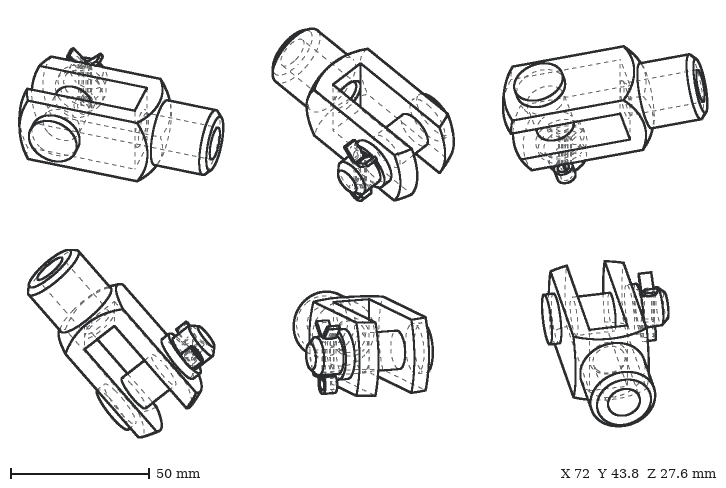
import cadquery as cq
import math

length = 72.0
fork_width = 27.0
slot_width = 14.0
slot_end_x = 43.85
front_dome_radius = 33.1
rear_dome_radius = 28.45
rear_dome_center_x = 25.8
shank_diameter = 24.0
shank_chamfer = 2.0
bore_diameter = 11.8
bore_mouth_diameter = 14.0
corner_clearance = 0.35

pin_x = 15.9
pin_diameter = 14.0
collar_diameter = 18.2
collar_thickness = 3.45
pin_tip_y = 26.9
tip_chamfer_length = 2.4
tip_chamfer_depth = 2.15

clip_y = 20.3
clip_width = 4.6
clip_hole_diameter = 4.6
strip_thickness = 1.4
leg_gap = 0.6
eye_radius = 3.45
clip_bottom_z = -14.05
bend_z = 6.9
prong_tip_z = 11.8
prong_angle = 45.0

half_width = fork_width / 2
half_slot = slot_width / 2


def y_cylinder(diameter, start_y, end_y):
    """Cylinder on the clevis pin axis between two Y positions."""
    return (
        cq.Workplane("XZ", origin=(pin_x, start_y, 0))
        .circle(diameter / 2)
        .extrude(start_y - end_y)
    )


def dome_x(center_x, dome_radius, radius, side):
    """X of a dome at a distance from the fork axis; side is -1 for front, +1 for rear."""
    return center_x + side * math.sqrt(dome_radius**2 - radius**2)


def make_fork():
    front_center_x = math.sqrt(front_dome_radius**2 - half_slot**2)
    front_apex_x = front_center_x - front_dome_radius
    shank_radius = shank_diameter / 2
    corner_radius = math.hypot(half_width, half_width) + corner_clearance
    middle_radius = corner_radius / 2
    rear_middle_radius = (corner_radius + shank_radius) / 2

    def front_point(radius):
        return dome_x(front_center_x, front_dome_radius, radius, -1), radius

    def rear_point(radius):
        return dome_x(rear_dome_center_x, rear_dome_radius, radius, 1), radius

    turned = (
        cq.Workplane("XY")
        .moveTo(front_apex_x, 0)
        .threePointArc(front_point(middle_radius), front_point(corner_radius))
        .lineTo(*rear_point(corner_radius))
        .threePointArc(rear_point(rear_middle_radius), rear_point(shank_radius))
        .lineTo(length - shank_chamfer, shank_radius)
        .lineTo(length, shank_radius - shank_chamfer)
        .lineTo(length, 0)
        .close()
        .revolve(360, (0, 0, 0), (1, 0, 0))
    )
    full_length = length - front_apex_x
    bar = cq.Workplane("XY", origin=((length + front_apex_x) / 2, 0, 0)).box(
        full_length, fork_width, fork_width
    )
    slot_length = slot_end_x - front_apex_x
    slot = cq.Workplane("XY", origin=((slot_end_x + front_apex_x) / 2, 0, 0)).box(
        slot_length, slot_width, fork_width
    )
    bore = (
        cq.Workplane("YZ", origin=(slot_end_x, 0, 0))
        .circle(bore_diameter / 2)
        .extrude(length - slot_end_x)
    )
    mouth_radius = bore_mouth_diameter / 2
    countersink = cq.Workplane(
        cq.Solid.makeCone(
            mouth_radius,
            bore_diameter / 2,
            mouth_radius - bore_diameter / 2,
            pnt=cq.Vector(slot_end_x, 0, 0),
            dir=cq.Vector(1, 0, 0),
        )
    )
    return turned.intersect(bar).cut(slot).cut(bore).cut(countersink)


def make_clevis_pin():
    collar_y = half_width + collar_thickness
    shaft = (
        y_cylinder(pin_diameter, -collar_y, pin_tip_y)
        .faces(">Y")
        .chamfer(tip_chamfer_length, tip_chamfer_depth)
    )
    head = y_cylinder(collar_diameter, -collar_y, -half_width)
    washer = y_cylinder(collar_diameter, half_width, collar_y)
    clip_hole = (
        cq.Workplane("XY", origin=(pin_x, clip_y, -pin_diameter / 2))
        .circle(clip_hole_diameter / 2)
        .extrude(pin_diameter)
    )
    return shaft.union(head).union(washer).cut(clip_hole)


def make_split_pin():
    plane = cq.Workplane("XZ", origin=(pin_x, clip_y, 0))
    inner_x = leg_gap / 2
    outer_x = inner_x + strip_thickness
    eye_z = clip_bottom_z + eye_radius

    angle = math.radians(prong_angle)
    tip_x = inner_x + (prong_tip_z - bend_z) * math.tan(angle)
    outer_bend_z = bend_z - strip_thickness * math.tan(angle / 2)
    leg = (
        plane.moveTo(inner_x, eye_z + eye_radius - strip_thickness)
        .lineTo(inner_x, bend_z)
        .lineTo(tip_x, prong_tip_z)
        .lineTo(
            tip_x + strip_thickness * math.cos(angle),
            prong_tip_z - strip_thickness * math.sin(angle),
        )
        .lineTo(outer_x, outer_bend_z)
        .lineTo(outer_x, eye_z + math.sqrt(eye_radius**2 - outer_x**2))
        .close()
        .extrude(clip_width / 2, both=True)
    )
    other_leg = leg.mirror("YZ", (pin_x, 0, 0))

    eye = (
        plane.center(0, eye_z)
        .circle(eye_radius)
        .circle(eye_radius - strip_thickness)
        .extrude(clip_width / 2, both=True)
    )
    gap = (
        plane.center(0, eye_z + eye_radius / 2)
        .rect(leg_gap, eye_radius)
        .extrude(clip_width / 2, both=True)
    )
    return eye.cut(gap).union(leg).union(other_leg)


result = make_fork().union(make_clevis_pin()).union(make_split_pin())